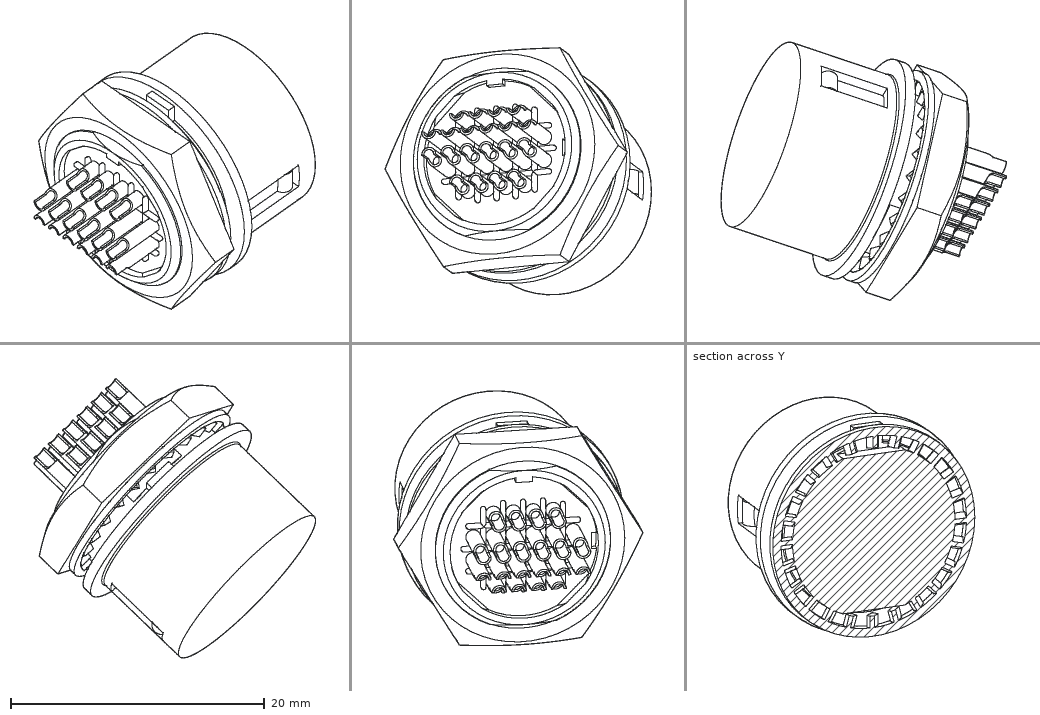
import cadquery as cq
import math


SHELL_RADIUS = 7.68
SHELL_END = 9.32
FLANGE_RADIUS = 18.0 / 2
FLANGE_THICKNESS = 0.85
ROOT_CONE_LENGTH = 0.18
ROOT_CONE_FLARE = 0.08
THREAD_RADIUS = 7.03
THREAD_LENGTH = 5.7
THREAD_CHAMFER = 0.53
THREAD_FLAT_Z = 6.5
THREAD_FLAT_START = 0.65

NUT_CORNER_RADIUS = 9.82
NUT_FLAT_Z = NUT_CORNER_RADIUS * math.cos(math.pi / 6)
NUT_START = 1.98
NUT_THICKNESS = 3.02
NUT_FACE_RADIUS = 8.19
NUT_CHAMFER_WIDTH = NUT_CORNER_RADIUS - NUT_FACE_RADIUS
NUT_CHAMFER_DEPTH = NUT_CHAMFER_WIDTH * math.tan(math.pi / 6)

LOCATING_KEY_WIDTH = 2.47

WASHER_OUTER_RADIUS = 8.74
WASHER_INNER_RADIUS = 7.97
WASHER_START = 1.25
WASHER_THICKNESS = 0.53
TOOTH_COUNT = 24
TOOTH_WIDTH = 0.85
TOOTH_TWIST = 35
TOOTH_OVERLAP = 0.04

WINDOW_HEIGHT = 2.34
WINDOW_START = 1.8
WINDOW_END = 7.52
WINDOW_FLOOR_RADIUS = 5.89
LATCH_HEIGHT = 1.95
LATCH_RADIUS = 6.97
LATCH_NOSE_RADIUS = 0.77
LATCH_NOSE_TIP = 7.55
LATCH_NOSE_Y = 6.58

RECESS_RADIUS = 5.95
RECESS_DEPTH = 0.59
FACET_DISTANCE = 5.67
FACET_TAPER = 0.18
KEY_WIDTH = 1.33
KEY_REACH = 0.43
NOTCH_DEPTH = 0.5

PIN_RADIUS = 0.59
PIN_BORE_RADIUS = 0.41
PIN_BORE_DEPTH = 2.15
LONG_ROW_COUNT = 6
SHORT_ROW_COUNT = 4
LONG_ROW_WIDTH = 7.99
ROWS_HEIGHT = 5.67
PIN_PITCH_X = LONG_ROW_WIDTH / (LONG_ROW_COUNT - 1)
PIN_PITCH_Z = ROWS_HEIGHT / 3
LONG_PIN_END = 9.87
SHORT_PIN_END = 7.87
CUP_LENGTH = 1.55
CUP_ARC_RADIUS = 0.67
CUP_ARC_LENGTH = 0.41

RIB_WIDTH = 0.4
RIB_HEIGHT = 0.4
CENTER_RIB_X_REACH = 4.99
OUTER_RIB_X_REACH = 4.6
CENTER_RIB_Z_REACH = 3.87
OUTER_RIB_Z_REACH = 3.47

BODY_END = -THREAD_LENGTH
RECESS_FLOOR = BODY_END + RECESS_DEPTH


def cylinder(radius, y_start, y_end):
    """Round bar on the connector axis."""
    return cq.Workplane("XZ", origin=(0, y_start, 0)).circle(radius).extrude(y_start - y_end)


def block(x_range, y_range, z_range):
    """Box given by its limits along each axis."""
    ranges = (x_range, y_range, z_range)
    sizes = [high - low for low, high in ranges]
    return cq.Workplane("XY", origin=[low for low, high in ranges]).box(*sizes, centered=False)


def make_shell_and_flange():
    """Turned outline of the shell, the flange and the threaded body, then the thread flats."""
    outline = [
        (0, SHELL_END),
        (SHELL_RADIUS, SHELL_END),
        (SHELL_RADIUS, FLANGE_THICKNESS + ROOT_CONE_LENGTH),
        (SHELL_RADIUS + ROOT_CONE_FLARE, FLANGE_THICKNESS),
        (FLANGE_RADIUS, FLANGE_THICKNESS),
        (FLANGE_RADIUS, 0),
        (THREAD_RADIUS + ROOT_CONE_FLARE, 0),
        (THREAD_RADIUS, -ROOT_CONE_LENGTH),
        (THREAD_RADIUS, BODY_END + THREAD_CHAMFER),
        (THREAD_RADIUS - THREAD_CHAMFER, BODY_END),
        (0, BODY_END),
    ]
    body = cq.Workplane("XY").polyline(outline).close().revolve(360, (0, 0, 0), (0, 1, 0))
    side = (-FLANGE_RADIUS, FLANGE_RADIUS)
    flat_length = (BODY_END, -THREAD_FLAT_START)
    body = body.cut(block(side, flat_length, (THREAD_FLAT_Z, FLANGE_RADIUS)))
    return body.cut(block(side, flat_length, (-FLANGE_RADIUS, -THREAD_FLAT_Z)))


def make_locating_key():
    """Key at the top of the threaded body, against the flange."""
    half_width = LOCATING_KEY_WIDTH / 2
    return block((-half_width, half_width), (-THREAD_FLAT_START, 0), (THREAD_FLAT_Z, NUT_FLAT_Z))


def make_nut():
    """Hexagon with corners on the X axis and a 30 degree chamfer on its rear face."""
    front = -NUT_START
    rear = front - NUT_THICKNESS
    hexagon = (
        cq.Workplane("XZ", origin=(0, front, 0))
        .polygon(6, 2 * NUT_CORNER_RADIUS)
        .extrude(NUT_THICKNESS)
    )
    margin = 0.2
    slope = NUT_CHAMFER_DEPTH / NUT_CHAMFER_WIDTH
    envelope_outline = [
        (0, front),
        (NUT_CORNER_RADIUS + margin, front),
        (NUT_CORNER_RADIUS + margin, rear + NUT_CHAMFER_DEPTH + margin * slope),
        (NUT_FACE_RADIUS, rear),
        (0, rear),
    ]
    envelope = cq.Workplane("XY").polyline(envelope_outline).close().revolve(360, (0, 0, 0), (0, 1, 0))
    return hexagon.intersect(envelope).cut(cylinder(THREAD_RADIUS, front, rear))


def make_lock_washer():
    """Flat ring with twisted teeth that reach inward to the thread."""
    rear = -WASHER_START - WASHER_THICKNESS
    middle = -WASHER_START - WASHER_THICKNESS / 2
    washer = cylinder(WASHER_OUTER_RADIUS, -WASHER_START, rear)
    washer = washer.cut(cylinder(WASHER_INNER_RADIUS, -WASHER_START, rear))
    tooth_start = THREAD_RADIUS - TOOTH_OVERLAP
    tooth_length = WASHER_INNER_RADIUS + TOOTH_OVERLAP - tooth_start
    tooth = (
        cq.Workplane("XY")
        .box(TOOTH_WIDTH, WASHER_THICKNESS, tooth_length)
        .rotate((0, 0, 0), (0, 0, 1), -TOOTH_TWIST)
        .translate((0, middle, tooth_start + tooth_length / 2))
    )
    teeth = [
        tooth.rotate((0, 0, 0), (0, 1, 0), index * 360 / TOOTH_COUNT).val()
        for index in range(TOOTH_COUNT)
    ]
    return washer.union(cq.Workplane(cq.Compound.makeCompound(teeth)))


def make_window():
    """Pocket through the -X side of the shell wall."""
    half_height = WINDOW_HEIGHT / 2
    pocket = block((-FLANGE_RADIUS, 0), (WINDOW_START, WINDOW_END), (-half_height, half_height))
    return pocket.cut(cylinder(WINDOW_FLOOR_RADIUS, WINDOW_START, WINDOW_END))


def make_latch():
    """Spring arm inside the -X window, ending in a rounded nose."""
    half_height = LATCH_HEIGHT / 2
    arm = block((-FLANGE_RADIUS, 0), (WINDOW_START, LATCH_NOSE_Y), (-half_height, half_height))
    arm = arm.intersect(cylinder(LATCH_RADIUS, WINDOW_START, LATCH_NOSE_Y))
    nose_x = LATCH_NOSE_RADIUS - LATCH_NOSE_TIP
    nose = (
        cq.Workplane("XY", origin=(nose_x, LATCH_NOSE_Y, -half_height))
        .circle(LATCH_NOSE_RADIUS)
        .extrude(LATCH_HEIGHT)
    )
    return arm.union(nose)


def make_recess():
    """Round pocket with four sloped corner facets, a key on the +Z side and a deeper notch at +X."""
    recess = cylinder(RECESS_RADIUS, BODY_END, RECESS_FLOOR)
    facet_outline = [
        (FACET_DISTANCE + FACET_TAPER, BODY_END),
        (FACET_DISTANCE, RECESS_FLOOR),
        (FLANGE_RADIUS, RECESS_FLOOR),
        (FLANGE_RADIUS, BODY_END),
    ]
    facet = cq.Workplane("XY").polyline(facet_outline).close().extrude(RECESS_RADIUS, both=True)
    for angle in (45, 135, 225, 315):
        recess = recess.cut(facet.rotate((0, 0, 0), (0, 1, 0), angle))
    half_width = KEY_WIDTH / 2
    inner_reach = RECESS_RADIUS - KEY_REACH
    key = block((-half_width, half_width), (BODY_END, RECESS_FLOOR), (inner_reach, FLANGE_RADIUS))
    notch_end = RECESS_FLOOR + NOTCH_DEPTH
    notch = block((inner_reach, RECESS_RADIUS), (RECESS_FLOOR, notch_end), (-half_width, half_width))
    notch = notch.intersect(cylinder(RECESS_RADIUS, RECESS_FLOOR, notch_end))
    return recess.cut(key).union(notch)


def make_pin(end):
    """Solder pin on the Y axis whose cup opens toward +Z."""
    cup_start = -end + CUP_LENGTH
    pin = cylinder(PIN_RADIUS, RECESS_FLOOR, -end)
    pin = pin.cut(cylinder(PIN_BORE_RADIUS, -end + PIN_BORE_DEPTH, -end))
    opening = (
        cq.Workplane("YZ")
        .moveTo(-end, 0)
        .lineTo(cup_start - CUP_ARC_LENGTH, 0)
        .radiusArc((cup_start, PIN_RADIUS), -CUP_ARC_RADIUS)
        .lineTo(-end, PIN_RADIUS)
        .close()
        .extrude(PIN_RADIUS, both=True)
    )
    return pin.cut(opening)


def make_pins():
    """Two inner rows of six long pins and two outer rows of four short pins."""
    pins = []
    rows = (
        (LONG_ROW_COUNT, LONG_PIN_END, PIN_PITCH_Z / 2),
        (SHORT_ROW_COUNT, SHORT_PIN_END, ROWS_HEIGHT / 2),
    )
    for count, end, z in rows:
        upper_pin = make_pin(end)
        lower_pin = upper_pin.mirror("XY")
        for index in range(count):
            x = (index - (count - 1) / 2) * PIN_PITCH_X
            pins.append(upper_pin.translate((x, 0, z)).val())
            pins.append(lower_pin.translate((x, 0, -z)).val())
    return cq.Compound.makeCompound(pins)


def make_rib(reach, x, z, angle):
    """Bar with a round back and round ends, along X at angle 0 or along Z at angle 90."""
    radius = RIB_WIDTH / 2
    wall_height = RIB_HEIGHT - radius
    half_length = reach - radius
    rib = cq.Workplane("XZ").slot2D(2 * reach, RIB_WIDTH).extrude(wall_height)
    back = cq.Workplane("YZ", origin=(0, -wall_height, 0)).circle(radius).extrude(half_length, both=True)
    rib = rib.union(back)
    for end in (-half_length, half_length):
        rib = rib.union(cq.Workplane("XY", origin=(end, -wall_height, 0)).sphere(radius))
    return rib.rotate((0, 0, 0), (0, 1, 0), angle).translate((x, RECESS_FLOOR, z))


def make_ribs():
    """Grid of three ribs along X and five along Z."""
    ribs = make_rib(CENTER_RIB_X_REACH, 0, 0, 0)
    for row in (-1, 1):
        ribs = ribs.union(make_rib(OUTER_RIB_X_REACH, 0, row * PIN_PITCH_Z, 0))
    for column in range(-2, 3):
        reach = OUTER_RIB_Z_REACH if abs(column) == 2 else CENTER_RIB_Z_REACH
        ribs = ribs.union(make_rib(reach, column * PIN_PITCH_X, 0, 90))
    return ribs


window = make_window()
latch = make_latch()

result = make_shell_and_flange()
result = result.cut(window).cut(window.mirror("YZ"))
result = result.union(latch).union(latch.mirror("YZ"))
result = result.cut(make_recess())
result = result.union(make_locating_key())
result = result.union(make_nut())
result = result.union(make_lock_washer())
result = result.union(make_ribs())
result = result.union(cq.Workplane(make_pins()))